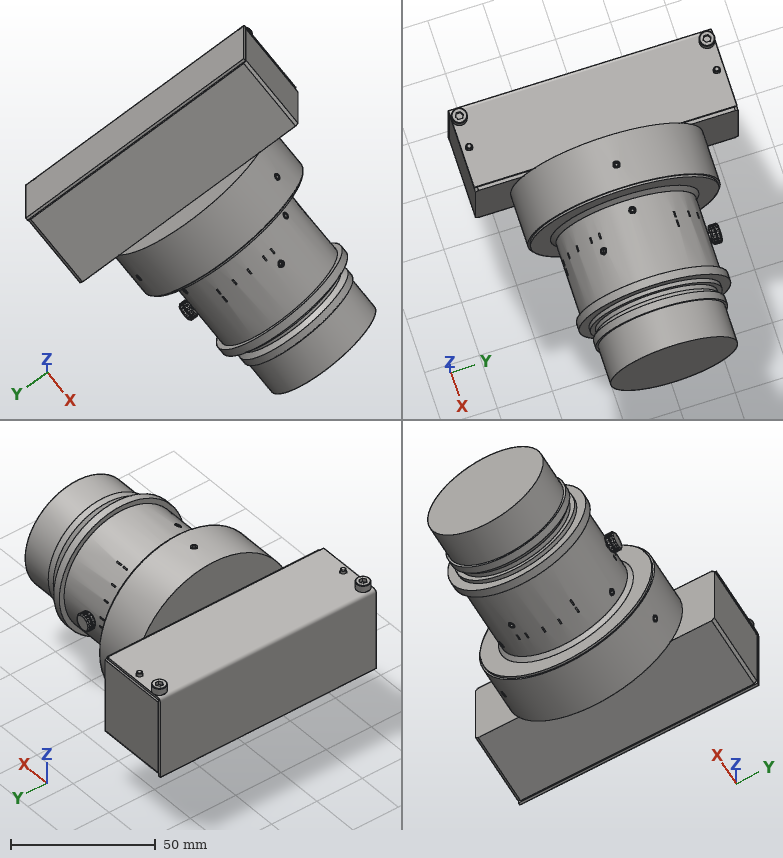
import cadquery as cq
import math


housing_length = 30.6
housing_width = 95.49
housing_bottom = -17.25
housing_top = 17.75
cover_thickness = 1.0
cover_bend_radius = 1.5
cover_top_end = 29.3
cover_gap = 0.4
block_chamfer = 1.1
fastener_y = 45.0

screw_x = 4.0
screw_head_diameter = 5.5
screw_head_height = 3.0
screw_head_chamfer = 0.25
screw_socket_flats = 2.5
screw_socket_depth = 1.5
pin_x = 15.0
pin_diameter = 2.05
pin_height = 1.3
pin_chamfer = 0.3
pin_hole_diameter = 2.5

rear_diameter = 70.0
rear_lip_diameter = 68.6
rear_lip_start = 49.8
rear_end = 50.6
cone_diameter = 54.0
barrel_start = 52.1
barrel_diameter = 51.0
flange_start = 81.4
flange_end = 84.5
flange_diameter = 55.2
collar_diameter = 48.0
collar_end = 86.0
neck_diameter = 44.4
neck_end = 87.6
ring_start = 89.3
ring_end = 92.1
tube_diameter = 46.2
overall_length = 106.1

repeats = 3
repeat_angle = 360 / repeats
set_screw_diameter = 2.0
set_screw_hole_diameter = 2.5
set_screw_socket_diameter = 1.18
set_screw_depth = 1.0
rear_screw_x = 41.3
rear_screw_angle = 90.0
rear_screw_protrusion = 0.02
front_screw_x = 56.0
front_screw_angle = 92.4
lock_screw_x = 66.1
lock_screw_angle = 60.0

thumb_angle = 180.0
thumb_neck_diameter = 2.0
thumb_head_diameter = 7.0
thumb_head_start = 26.2
thumb_head_end = 29.6
thumb_head_chamfer = 0.5
thumb_groove_depth = 0.4
thumb_groove_width = 0.4
knurl_count = 16
knurl_diameter = 0.5

tick_angles = (6.0, 22.3, 36.8, 52.6, 61.2)
tick_start = 59.6
tick_end = 61.7
index_start = 62.9
index_end = 65.3
tick_width = 0.5
tick_depth = 0.1


def on_lens(shape, x, angle):
    """Move a shape built along +Z to station x, turned about the lens axis.

    The angle runs from -Y at 0 through +Z at 90.
    """
    return shape.rotate((0, 0, 0), (1, 0, 0), 90 - angle).translate((x, 0, 0))


def cylinder(diameter, bottom, top):
    """A cylinder along Z between two heights."""
    return cq.Workplane("XY").workplane(offset=bottom).circle(diameter / 2).extrude(top - bottom)


def housing_block():
    start = cover_thickness + cover_gap
    top = housing_top - cover_thickness
    block = cq.Workplane("XY").box(
        housing_length - start, housing_width, top - housing_bottom, centered=(False, True, False)
    )
    block = block.edges("|X").chamfer(block_chamfer)
    return block.translate((start, 0, housing_bottom))


def housing_cover():
    half_width = housing_width / 2
    inner_radius = cover_bend_radius - cover_thickness
    inner_top = housing_top - cover_thickness
    bend_z = housing_top - cover_bend_radius
    diagonal = math.sqrt(0.5)
    outer_mid = cover_bend_radius * (1 - diagonal)
    inner_mid = cover_bend_radius - inner_radius * diagonal
    return (
        cq.Workplane("XZ", origin=(0, half_width, 0))
        .moveTo(0, housing_bottom)
        .lineTo(0, bend_z)
        .threePointArc((outer_mid, housing_top - outer_mid), (cover_bend_radius, housing_top))
        .lineTo(cover_top_end, housing_top)
        .lineTo(cover_top_end, inner_top)
        .lineTo(cover_bend_radius, inner_top)
        .threePointArc((inner_mid, housing_top - inner_mid), (cover_thickness, bend_z))
        .lineTo(cover_thickness, housing_bottom)
        .close()
        .extrude(housing_width)
    )


def socket_screw_head():
    head = cylinder(screw_head_diameter, housing_top, housing_top + screw_head_height)
    head = head.faces(">Z").edges().chamfer(screw_head_chamfer)
    corner_diameter = screw_socket_flats / math.cos(math.pi / 6)
    socket = (
        cq.Workplane("XY")
        .workplane(offset=housing_top + screw_head_height - screw_socket_depth)
        .transformed(rotate=(0, 0, 90))
        .polygon(6, corner_diameter)
        .extrude(screw_socket_depth)
    )
    return head.cut(socket)


def housing():
    body = housing_block().union(housing_cover())
    pin_bottom = housing_top - cover_thickness
    pin_hole = cylinder(pin_hole_diameter, pin_bottom, housing_top)
    pin = cylinder(pin_diameter, pin_bottom, housing_top + pin_height)
    pin = pin.faces(">Z").edges().chamfer(pin_chamfer)
    for y in (-fastener_y, fastener_y):
        body = body.cut(pin_hole.translate((pin_x, y, 0)))
        body = body.union(pin.translate((pin_x, y, 0)))
        body = body.union(socket_screw_head().translate((screw_x, y, 0)))
    return body


def lens_body():
    outline = [
        (housing_length, 0),
        (housing_length, rear_diameter / 2),
        (rear_lip_start, rear_diameter / 2),
        (rear_lip_start, rear_lip_diameter / 2),
        (rear_end, rear_lip_diameter / 2),
        (rear_end, cone_diameter / 2),
        (barrel_start, barrel_diameter / 2),
        (flange_start, barrel_diameter / 2),
        (flange_start, flange_diameter / 2),
        (flange_end, flange_diameter / 2),
        (flange_end, collar_diameter / 2),
        (collar_end, collar_diameter / 2),
        (collar_end, neck_diameter / 2),
        (neck_end, neck_diameter / 2),
        (ring_start, collar_diameter / 2),
        (ring_end, collar_diameter / 2),
        (ring_end, tube_diameter / 2),
        (overall_length, tube_diameter / 2),
        (overall_length, 0),
    ]
    return cq.Workplane("XY").polyline(outline).close().revolve(360, (0, 0, 0), (1, 0, 0))


def add_set_screw(body, surface_diameter, x, angle, protrusion=0.0):
    surface = surface_diameter / 2
    top = surface + protrusion
    bottom = surface - set_screw_depth
    hole = cylinder(set_screw_hole_diameter, bottom, top + set_screw_depth)
    screw = cylinder(set_screw_diameter, bottom, top)
    screw = screw.cut(cylinder(set_screw_socket_diameter, bottom, top))
    return body.cut(on_lens(hole, x, angle)).union(on_lens(screw, x, angle))


def thumb_screw():
    neck = cylinder(thumb_neck_diameter, barrel_diameter / 2 - set_screw_depth, thumb_head_end)
    head = cylinder(thumb_head_diameter, thumb_head_start, thumb_head_end)
    head = head.edges().chamfer(thumb_head_chamfer)
    knurl = (
        cq.Workplane("XY")
        .workplane(offset=thumb_head_start)
        .polarArray(thumb_head_diameter / 2, 0, 360, knurl_count)
        .circle(knurl_diameter / 2)
        .extrude(thumb_head_end - thumb_head_start)
    )
    groove_bottom = (thumb_head_start + thumb_head_end - thumb_groove_width) / 2
    groove_top = groove_bottom + thumb_groove_width
    groove = cylinder(thumb_head_diameter, groove_bottom, groove_top)
    groove = groove.cut(cylinder(thumb_head_diameter - 2 * thumb_groove_depth, groove_bottom, groove_top))
    return neck.union(head.cut(knurl).cut(groove))


def scale_mark(start, end):
    mark = cq.Workplane("XY").box(end - start, tick_width, 2 * tick_depth, centered=(False, True, True))
    return mark.translate((start, 0, barrel_diameter / 2))


def engrave_scale(body):
    tick = scale_mark(tick_start, tick_end)
    index = scale_mark(index_start, index_end)
    for repeat in range(repeats):
        row_angle = repeat * repeat_angle
        body = body.cut(on_lens(index, 0, row_angle + tick_angles[0]))
        for tick_angle in tick_angles:
            body = body.cut(on_lens(tick, 0, row_angle + tick_angle))
    return body


def lens():
    body = engrave_scale(lens_body())
    for repeat in range(repeats):
        turn = repeat * repeat_angle
        body = add_set_screw(
            body, rear_diameter, rear_screw_x, rear_screw_angle + turn, rear_screw_protrusion
        )
        body = add_set_screw(body, barrel_diameter, front_screw_x, front_screw_angle + turn)
        lock_angle = lock_screw_angle + turn
        if lock_angle == thumb_angle:
            body = body.union(on_lens(thumb_screw(), lock_screw_x, lock_angle))
        else:
            body = add_set_screw(body, barrel_diameter, lock_screw_x, lock_angle)
    return body


result = housing().union(lens())